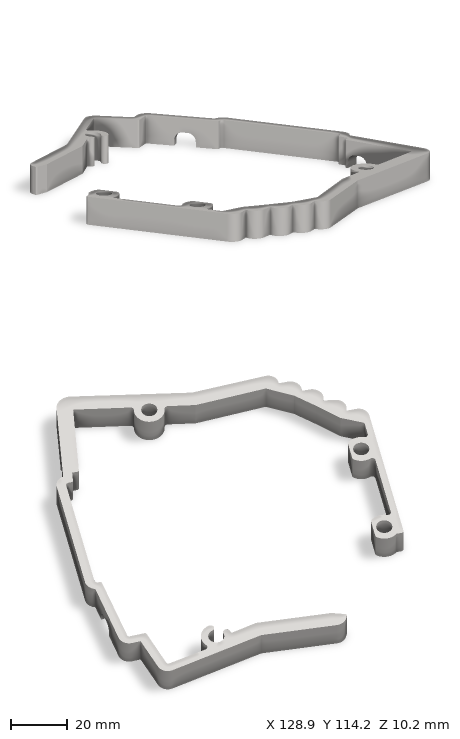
import cadquery as cq
import math

height = 10.2
top_y = 114.2
inner_top_y = 110.8
floor_y = 2.5
outer_radius = 4.0
large_radius = 5.0
left_radius = 3.9
grip_radius = 3.7
end_rounding = 0.9
tip_radius = 0.5
inner_radius = 1.2
small_radius = 0.6
tight_radius = 0.4

hole_diameter = 5.7
boss_radius = 5.4
boss_fillet = 1.2
hook_fillet = 0.5
side_boss_y = 74.7
hook_center = (11.7, side_boss_y)
side_center = (116.7, side_boss_y)
bottom_boss_y = 6.2
bottom_centers = [(46.8, bottom_boss_y), (82.9, bottom_boss_y)]
bottom_boss_top = 10.2
hook_upper_angle = 16.0
hook_lower_angle = -76.0

notch_width = 8.0
notch_height = 5.0
notch_radius = 3.1
notch_depth = 10.3
notches = [((32.3, 108.5), 7.5), ((100.5, 107.0), -8.5)]

outer_corners = [
    (7.0, 29.6, outer_radius),
    (8.6, 59.3, 0),
    (-0.8, 96.8, left_radius),
    (15.5, 101.2, 0),
    (15.1, 107.9, outer_radius),
    (42.0, 111.3, 0),
    (42.9, top_y, outer_radius),
    (93.3, top_y, outer_radius),
    (94.1, 111.0, 0),
    (129.8, 105.5, large_radius),
    (121.0, 58.4, 0),
]
grip_corners = [
    (122.8, 27.7, grip_radius),
    (118.3, 27.7, 0),
    (118.3, 20.5, outer_radius),
    (113.1, 20.5, 0),
    (113.1, 11.2, outer_radius),
    (107.2, 14.3, 0),
    (105.7, 4.8, grip_radius),
    (100.9, 7.5, 0),
    (100.9, 0, grip_radius),
]
inner_corners = [
    (42.7, 0, end_rounding),
    (42.7, floor_y, 0),
    (94.1, floor_y, 0),
    (98.2, 10.2, 0),
    (105.4, 17.3, 0),
    (111.6, 23.7, 0),
    (117.0, 32.7, inner_radius),
    (115.2, 58.4, 0),
    (122.8, 100.8, tight_radius),
    (95.1, 105.0, small_radius),
    (95.1, 107.5, 0),
    (91.0, 108.1, small_radius),
    (91.0, inner_top_y, inner_radius),
    (44.7, inner_top_y, inner_radius),
    (44.7, 108.5, 0),
    (18.4, 105.0, small_radius),
    (18.7, 98.5, small_radius),
    (3.2, 94.3, small_radius),
    (7.5, 76.5, 0),
    (11.5, 71.1, 0),
    (14.4, 59.8, 0),
    (12.9, 33.0, 0),
    (11.1, 27.7, tip_radius),
]


def toward(start, end, distance):
    """Point at a distance from start on the way to end."""
    share = distance / math.dist(start, end)
    return (start[0] + share * (end[0] - start[0]), start[1] + share * (end[1] - start[1]))


def rounded_outline(corners):
    """Closed outline through the corners, rounded by a tangent arc where a radius is given."""
    path = None
    for index, (x, y, radius) in enumerate(corners):
        corner = (x, y)
        before = corners[index - 1][:2]
        after = corners[(index + 1) % len(corners)][:2]
        to_before = math.atan2(before[1] - y, before[0] - x)
        to_after = math.atan2(after[1] - y, after[0] - x)
        half_angle = abs(math.remainder(to_before - to_after, math.tau)) / 2
        setback = radius / math.tan(half_angle)
        start = toward(corner, before, setback)
        path = path.lineTo(*start) if path else cq.Workplane("XY").moveTo(*start)
        if radius:
            end = toward(corner, after, setback)
            chord_middle = ((start[0] + end[0]) / 2, (start[1] + end[1]) / 2)
            to_arc = radius / math.sin(half_angle) - radius
            path = path.threePointArc(toward(corner, chord_middle, to_arc), end)
    return path.close()


def cylinder(center, radius):
    return cq.Workplane("XY").center(*center).circle(radius).extrude(height)


def bottom_boss(center):
    flat = cq.Workplane("XY").box(2 * boss_radius, bottom_boss_top, height, centered=(True, False, False))
    return cylinder(center, boss_radius).intersect(flat.translate((center[0], 0, 0)))


def polar(center, radius, degrees):
    angle = math.radians(degrees)
    return (center[0] + radius * math.cos(angle), center[1] + radius * math.sin(angle))


def hook():
    """Boss with an open side, its two ends rounded."""
    reach = 2 * boss_radius
    middle_angle = (hook_upper_angle + hook_lower_angle) / 2
    opening = (
        cq.Workplane("XY")
        .moveTo(*hook_center)
        .lineTo(*polar(hook_center, reach, hook_lower_angle))
        .lineTo(*polar(hook_center, reach, middle_angle))
        .lineTo(*polar(hook_center, reach, hook_upper_angle))
        .close()
        .extrude(height)
    )
    body = cylinder(hook_center, boss_radius).cut(opening)
    hole_radius = hole_diameter / 2
    end_radius = (boss_radius - hole_radius) / 2
    for angle in (hook_upper_angle, hook_lower_angle):
        body = body.union(cylinder(polar(hook_center, hole_radius + end_radius, angle), end_radius))
    return body


def notch(center, slope):
    block = cq.Workplane("XY").box(notch_width, notch_depth, 2 * notch_height)
    block = block.edges("|Y and >Z").fillet(notch_radius)
    return block.rotate((0, 0, 0), (0, 0, 1), slope).translate((*center, 0))


frame = rounded_outline(outer_corners + grip_corners + inner_corners).extrude(height)
frame = frame.union(hook()).union(cylinder(side_center, boss_radius))
for center in bottom_centers:
    frame = frame.union(bottom_boss(center))

floor_offset = math.sqrt(boss_radius**2 - (bottom_boss_y - floor_y) ** 2)
boss_roots = [
    (bottom_centers[0][0] + floor_offset, floor_y, boss_fillet),
    (bottom_centers[1][0] - floor_offset, floor_y, boss_fillet),
    (bottom_centers[1][0] + floor_offset, floor_y, boss_fillet),
    (6.8, 78.6, boss_fillet),
    (119.2, 79.6, boss_fillet),
    (116.9, 69.2, boss_fillet),
    (12.1, 69.3, hook_fillet),
]
for x, y, radius in boss_roots:
    root = cq.selectors.NearestToPointSelector((x, y, height / 2))
    frame = frame.edges("|Z").edges(root).fillet(radius)

for center in [hook_center, side_center] + bottom_centers:
    frame = frame.cut(cylinder(center, hole_diameter / 2))

for center, slope in notches:
    frame = frame.cut(notch(center, slope))

result = frame